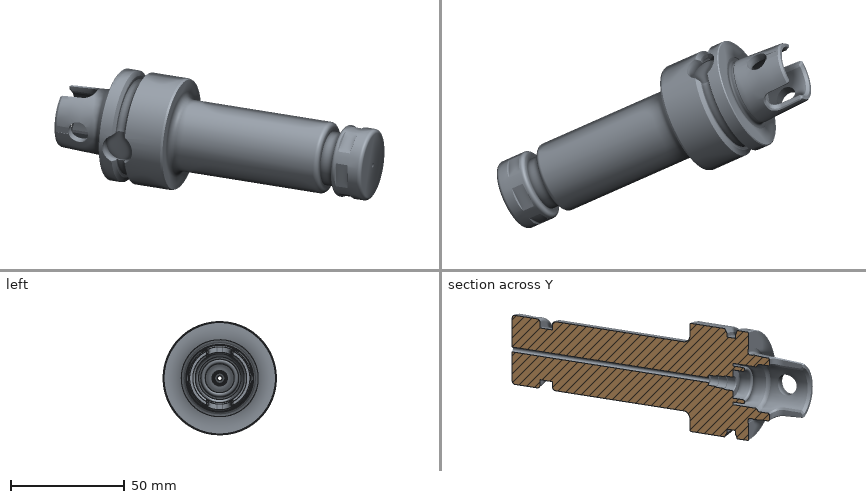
import cadquery as cq
import math

shank_end_x = -25.0
flange_length = 30.0
body_end_x = 99.7
nut_start_x = 105.7
nut_end_x = 120.0

flange_radius = 25.0
flange_front_chamfer = 0.4
flange_back_chamfer = 0.9
flange_back_chamfer_depth = 0.4
groove_start_x = 5.9
groove_floor_start_x = 6.9
groove_floor_end_x = 10.9
groove_end_x = 12.2
groove_radius = 21.3
groove_wall_radius = 22.8
groove_center_x = (groove_floor_start_x + groove_floor_end_x) / 2
drive_pocket_radius = 7.0
drive_pocket_floor_y = 19.6

body_radius = 16.0
body_root_fillet = 3.0
body_end_fillet = 2.0
neck_radius = 12.0
nut_radius = 16.0
nut_edge_fillet = 1.6

flat_count = 6
flat_across = 30.0
flat_start_x = 108.25
flat_end_x = 113.7
flat_end_slope = 0.45

taper_slope = 0.05
taper_large_radius = 14.95
taper_large_x = -2.2
taper_end_chamfer = 1.0
taper_end_chamfer_depth = 0.5
taper_end_radius = taper_large_radius + taper_slope * (shank_end_x - taper_large_x)
root_neck_radius = 14.7
root_neck_start_x = -1.9
root_fillet = 1.0
face_recess_radius = 17.0
face_recess_depth = 0.3

mouth_radius = 11.9
mouth_cone_length = 1.2
bore_radius = 10.8
bore_step_x = -5.0
cavity_radius = 9.4
cavity_floor_x = 8.0
tube_outer_radius = 8.4
tube_inner_radius = 6.4
tube_rim_radius = (tube_outer_radius - tube_inner_radius) / 2
tube_rim_x = 2.0

coolant_entry_radius = 3.4
coolant_entry_chamfer = 0.4
coolant_steps = [(coolant_entry_radius - coolant_entry_chamfer, 4.0), (2.6, 4.0), (2.25, 4.0)]
through_radius = 1.0

slot_end_x = -10.7
slot_width = 10.4
slot_corner_radius = 4.0
slot_chamfer = 0.65
cross_hole_radius = 4.75
cross_hole_x = -13.5
end_groove_width = 3.1
end_groove_floor_y = 13.75

cos_45 = math.cos(math.radians(45))
tolerance = 0.01


def revolved(outline):
    """Close an outline drawn in the XY plane and turn it around the X axis."""
    return outline.close().revolve(360, (0, 0, 0), (1, 0, 0))


def box_between(x_start, x_end, y_start, y_end, z_size):
    """Box given by its X and Y limits, centred on Z = 0."""
    return (
        cq.Workplane("XY")
        .box(x_end - x_start, y_end - y_start, z_size)
        .translate(((x_start + x_end) / 2, (y_start + y_end) / 2, 0))
    )


def quarter_arc_mid(center_x, center_r, radius, sign_x, sign_r):
    """Middle point of a quarter arc lying in the given direction from its centre."""
    return (center_x + sign_x * radius * cos_45, center_r + sign_r * radius * cos_45)


def make_body():
    recess_x = face_recess_depth
    outline = (
        cq.Workplane("XY")
        .moveTo(shank_end_x, 0)
        .lineTo(shank_end_x, taper_end_radius - taper_end_chamfer_depth)
        .lineTo(
            shank_end_x + taper_end_chamfer,
            taper_end_radius + taper_slope * taper_end_chamfer,
        )
        .lineTo(taper_large_x, taper_large_radius)
        .lineTo(root_neck_start_x, root_neck_radius)
        .lineTo(recess_x - root_fillet, root_neck_radius)
        .threePointArc(
            quarter_arc_mid(recess_x - root_fillet, root_neck_radius + root_fillet, root_fillet, 1, -1),
            (recess_x, root_neck_radius + root_fillet),
        )
        .lineTo(recess_x, face_recess_radius)
        .lineTo(0, face_recess_radius)
        .lineTo(0, flange_radius - flange_front_chamfer)
        .lineTo(flange_front_chamfer, flange_radius)
        .lineTo(groove_start_x, flange_radius)
        .lineTo(groove_floor_start_x, groove_wall_radius)
        .lineTo(groove_floor_start_x, groove_radius)
        .lineTo(groove_floor_end_x, groove_radius)
        .lineTo(groove_floor_end_x, groove_wall_radius)
        .lineTo(groove_end_x, flange_radius)
        .lineTo(flange_length - flange_back_chamfer, flange_radius)
        .lineTo(flange_length, flange_radius - flange_back_chamfer_depth)
        .lineTo(flange_length, body_radius + body_root_fillet)
        .threePointArc(
            quarter_arc_mid(
                flange_length + body_root_fillet, body_radius + body_root_fillet, body_root_fillet, -1, -1
            ),
            (flange_length + body_root_fillet, body_radius),
        )
        .lineTo(body_end_x - body_end_fillet, body_radius)
        .threePointArc(
            quarter_arc_mid(body_end_x - body_end_fillet, body_radius - body_end_fillet, body_end_fillet, 1, 1),
            (body_end_x, body_radius - body_end_fillet),
        )
        .lineTo(body_end_x, neck_radius)
        .lineTo(nut_start_x, neck_radius)
        .lineTo(nut_start_x, 0)
    )
    return revolved(outline)


def make_flat_cutter():
    """Prism with sloped ends that leaves one wrench flat on the +Y side of the nut."""
    flat_y = flat_across / 2
    run = flat_end_slope * (nut_radius - flat_y)
    top_y = nut_radius
    return (
        cq.Workplane("XY")
        .polyline(
            [
                (flat_start_x, flat_y),
                (flat_end_x, flat_y),
                (flat_end_x + run, top_y),
                (flat_start_x - run, top_y),
            ]
        )
        .close()
        .extrude(nut_radius, both=True)
    )


def make_nut():
    nut = (
        cq.Workplane("YZ", origin=(nut_start_x, 0, 0))
        .circle(nut_radius)
        .extrude(nut_end_x - nut_start_x)
        .edges("%CIRCLE")
        .fillet(nut_edge_fillet)
    )
    for index in range(flat_count):
        angle = index * 360 / flat_count
        nut = nut.cut(make_flat_cutter().rotate((0, 0, 0), (1, 0, 0), angle))
    return nut


def make_bore():
    outline = (
        cq.Workplane("XY")
        .moveTo(shank_end_x, 0)
        .lineTo(shank_end_x, mouth_radius)
        .lineTo(shank_end_x + mouth_cone_length, bore_radius)
        .lineTo(bore_step_x, bore_radius)
        .lineTo(bore_step_x + bore_radius - cavity_radius, cavity_radius)
        .lineTo(cavity_floor_x, cavity_radius)
        .lineTo(cavity_floor_x, tube_outer_radius)
        .lineTo(tube_rim_x + tube_rim_radius, tube_outer_radius)
        .threePointArc(
            (tube_rim_x, tube_inner_radius + tube_rim_radius),
            (tube_rim_x + tube_rim_radius, tube_inner_radius),
        )
        .lineTo(cavity_floor_x, tube_inner_radius)
        .lineTo(cavity_floor_x, coolant_entry_radius)
    )
    step_start_x = cavity_floor_x + coolant_entry_chamfer
    for radius, length in coolant_steps:
        outline = outline.lineTo(step_start_x, radius)
        step_start_x += length
        outline = outline.lineTo(step_start_x, radius)
    outline = (
        outline.lineTo(step_start_x, through_radius)
        .lineTo(nut_end_x, through_radius)
        .lineTo(nut_end_x, 0)
    )
    return revolved(outline)


def make_drive_slot():
    """Slot through the shank wall on both the +Z and -Z sides."""
    overrun = slot_corner_radius
    return (
        box_between(shank_end_x - overrun, slot_end_x, -slot_width / 2, slot_width / 2, 4 * taper_large_radius)
        .edges("|Z and >X")
        .fillet(slot_corner_radius)
    )


def is_slot_rim(edge):
    """True for edges around the slot walls, except the lines where two slot walls meet."""
    box = edge.BoundingBox()
    at_slot = (
        max(abs(box.ymin), abs(box.ymax)) < slot_width / 2 + tolerance
        and box.xmax < slot_end_x + tolerance
        and abs(edge.Center().z) > bore_radius / 2
    )
    touches_wall = (
        box.ymax > slot_width / 2 - slot_corner_radius - tolerance
        or box.ymin < slot_corner_radius - slot_width / 2 + tolerance
    )
    wall_seam = box.xlen < tolerance and box.ylen < tolerance and box.xmin > shank_end_x + tolerance
    return at_slot and touches_wall and not wall_seam


def cut_drive_slots(part):
    part = part.cut(make_drive_slot())
    rim = [edge for edge in part.edges().vals() if is_slot_rim(edge)]
    return part.newObject(rim).chamfer(slot_chamfer)


def cut_drive_pockets(part):
    for side in (1, -1):
        pocket = (
            cq.Workplane("XZ", origin=(groove_center_x, side * drive_pocket_floor_y, 0))
            .circle(drive_pocket_radius)
            .extrude(-side * flange_radius)
        )
        part = part.cut(pocket)
    return part


def cut_shank_side_features(part):
    cross_hole = (
        cq.Workplane("XZ", origin=(cross_hole_x, 0, 0))
        .circle(cross_hole_radius)
        .extrude(taper_large_radius, both=True)
    )
    part = part.cut(cross_hole)
    for side in (1, -1):
        y_limits = sorted((side * end_groove_floor_y, side * taper_large_radius))
        part = part.cut(box_between(shank_end_x, cross_hole_x, *y_limits, end_groove_width))
    return part


result = make_body().union(make_nut())
result = cut_drive_pockets(result)
result = result.cut(make_bore())
result = cut_drive_slots(result)
result = cut_shank_side_features(result)